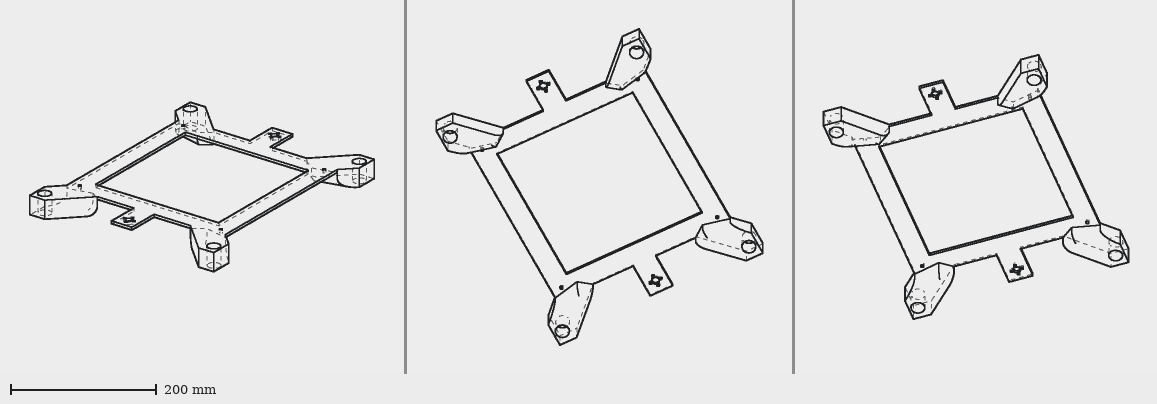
import cadquery as cq

LENGTH_X = 312.5
LENGTH_Y = 373.0
HEIGHT = 29.0

PLATE_THICKNESS = 4.5
FRAME_SIDE = 269.8
WINDOW_SIDE = 209.0
FRAME_HOLE_DIAMETER = 4.0
FRAME_HOLE_SPACING = 240.0

TAB_WIDTH = 34.7
TAB_HOLE_INSET = 17.5
TAB_HOLE_DIAMETER = 10.5
SCREW_HOLE_DIAMETER = 3.5
SCREW_CIRCLE_RADIUS = 8.0

LEG_END_X = 25.7
LEG_END_Y = 35.0
LEG_TIP_X = 59.7
LEG_TIP_Y = 65.3
LEG_END_FILLET = 15.0
LEG_HOLE_DIAMETER = 19.0
LEG_HOLE_INSET_X = 12.5
LEG_HOLE_INSET_Y = TAB_HOLE_INSET

half_x = LENGTH_X / 2
half_y = LENGTH_Y / 2
frame_inset_x = (LENGTH_X - FRAME_SIDE) / 2
frame_inset_y = (LENGTH_Y - FRAME_SIDE) / 2


def make_frame():
    """Square frame with both tabs, before any drilling."""
    frame = cq.Workplane("XY").rect(FRAME_SIDE, FRAME_SIDE).extrude(-PLATE_THICKNESS)
    tabs = cq.Workplane("XY").rect(TAB_WIDTH, LENGTH_Y).extrude(-PLATE_THICKNESS)
    window = cq.Workplane("XY").rect(WINDOW_SIDE, WINDOW_SIDE).extrude(-PLATE_THICKNESS)
    return frame.union(tabs).cut(window)


def make_leg():
    """Leg at the -X, -Y corner, with 45 degree flanks and a rounded inner end."""
    outer_flank_end = (frame_inset_x, LEG_END_Y + frame_inset_x)
    inner_flank_end = (LEG_END_X + frame_inset_y, frame_inset_y)
    tip = (LEG_TIP_X, LEG_TIP_Y)
    outline = [
        (0, 0),
        (LEG_END_X, 0),
        inner_flank_end,
        tip,
        outer_flank_end,
        (0, LEG_END_Y),
    ]
    leg = (
        cq.Workplane("XY", origin=(-half_x, -half_y, 0))
        .polyline(outline)
        .close()
        .extrude(-HEIGHT)
    )

    def bottom_edge_near(start, end):
        middle_x = (start[0] + end[0]) / 2 - half_x
        middle_y = (start[1] + end[1]) / 2 - half_y
        return cq.selectors.NearestToPointSelector((middle_x, middle_y, -HEIGHT))

    inner_end_edges = (
        leg.edges(bottom_edge_near(outer_flank_end, tip))
        .add(leg.edges(bottom_edge_near(tip, inner_flank_end)))
    )
    leg = inner_end_edges.fillet(LEG_END_FILLET)
    hole = (
        cq.Workplane("XY")
        .center(LEG_HOLE_INSET_X - half_x, LEG_HOLE_INSET_Y - half_y)
        .circle(LEG_HOLE_DIAMETER / 2)
        .extrude(-HEIGHT)
    )
    return leg.cut(hole)


def make_plate_holes():
    """Cutters for the four frame holes and the hole pattern of each tab."""
    holes = (
        cq.Workplane("XY")
        .rect(FRAME_HOLE_SPACING, FRAME_HOLE_SPACING, forConstruction=True)
        .vertices()
        .circle(FRAME_HOLE_DIAMETER / 2)
        .extrude(-HEIGHT)
    )
    tab_hole_y = half_y - TAB_HOLE_INSET
    for y in (-tab_hole_y, tab_hole_y):
        tab_centre = cq.Workplane("XY", origin=(0, y, 0))
        centre_hole = tab_centre.circle(TAB_HOLE_DIAMETER / 2).extrude(-PLATE_THICKNESS)
        screw_holes = (
            tab_centre.polarArray(SCREW_CIRCLE_RADIUS, 0, 360, 4)
            .circle(SCREW_HOLE_DIAMETER / 2)
            .extrude(-PLATE_THICKNESS)
        )
        holes = holes.union(centre_hole).union(screw_holes)
    return holes


front_left_leg = make_leg()
front_legs = front_left_leg.union(front_left_leg.mirror("YZ"))
legs = front_legs.union(front_legs.mirror("XZ"))

result = make_frame().union(legs).cut(make_plate_holes())